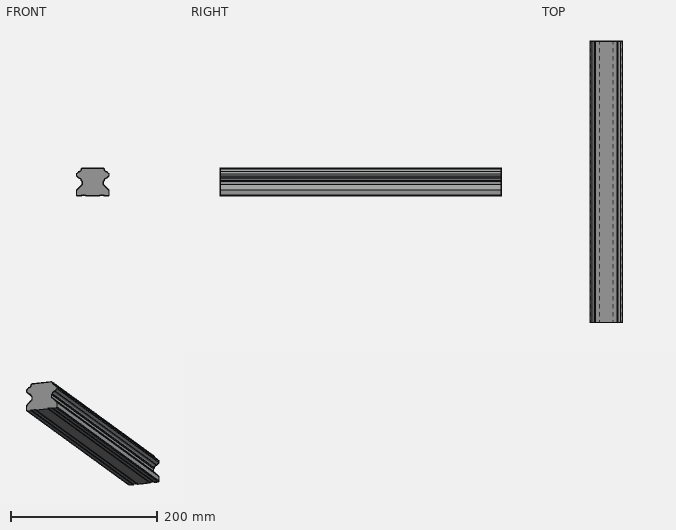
import cadquery as cq

length = 385.0
width = 45.0
height = 38.0
half_width = width / 2

top_chamfer = 1.0
head_half_width = 15.8
shoulder_half_width = 19.2
shoulder_z = 33.0
groove_radius = shoulder_half_width - head_half_width

flank = half_width - shoulder_half_width
lip_top_z = shoulder_z - flank
lip_height = 2.5
lip_bottom_z = lip_top_z - lip_height
lower_groove_z = lip_bottom_z - flank
lower_groove_end_z = lower_groove_z - groove_radius

waist_chamfer = 1.0
waist_half_width = head_half_width - waist_chamfer
waist_top_z = lower_groove_end_z - waist_chamfer

foot_top_z = 7.7
foot_slope_top_z = foot_top_z + half_width - waist_half_width
foot_chamfer = 1.0

relief_inner_x = 9.2
relief_outer_x = 15.5
relief_depth = 0.8


def half_profile():
    """Right half of the rail section, closed along the plane of symmetry."""
    return (
        cq.Workplane("XZ")
        .moveTo(0, 0)
        .lineTo(half_width - foot_chamfer, 0)
        .lineTo(half_width, foot_chamfer)
        .lineTo(half_width, foot_top_z)
        .lineTo(waist_half_width, foot_slope_top_z)
        .lineTo(waist_half_width, waist_top_z)
        .lineTo(head_half_width, lower_groove_end_z)
        .radiusArc((shoulder_half_width, lower_groove_z), groove_radius)
        .lineTo(half_width, lip_bottom_z)
        .lineTo(half_width, lip_top_z)
        .lineTo(shoulder_half_width, shoulder_z)
        .radiusArc((head_half_width, shoulder_z + groove_radius), groove_radius)
        .lineTo(head_half_width, height - top_chamfer)
        .lineTo(head_half_width - top_chamfer, height)
        .lineTo(0, height)
        .close()
    )


def relief_channels():
    """Two shallow channels running along the underside."""
    relief_width = relief_outer_x - relief_inner_x
    relief_center_x = (relief_inner_x + relief_outer_x) / 2
    return (
        cq.Workplane("XY")
        .pushPoints([(-relief_center_x, 0), (relief_center_x, 0)])
        .rect(relief_width, length)
        .extrude(relief_depth)
    )


right_half = half_profile().extrude(length / 2, both=True)
rail = right_half.union(right_half.mirror("YZ"))
result = rail.cut(relief_channels())